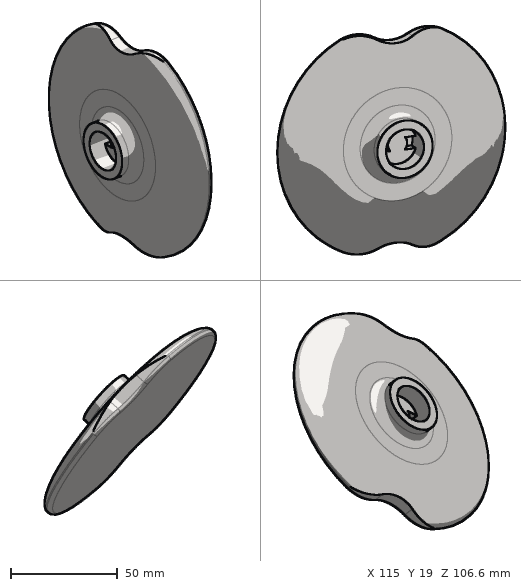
import cadquery as cq
import math

DISC_RADIUS = 57.5
OVERALL_HEIGHT = 106.63
OVERALL_DEPTH = 19.02
DISC_THICKNESS = 10.0
RIM_HEIGHT = 2.5
BACK_FILLET = 1.85
FLAT_RADIUS = 27.5
LOBE_RADIUS = 18.0
NOTCH_RADIUS = 18.0

HUB_RADIUS = 14.0
HUB_FILLET = 5.0
BORE_RADIUS = 9.6
BORE_DEPTH = OVERALL_DEPTH - DISC_THICKNESS
SLOT_WIDTH = 6.0
SLOT_INNER_RADIUS = 4.85
SLOT_DEPTH = 5.0


def disc_body():
    """Revolved disc: flat back, short rim and an elliptical dome up to the flat front."""
    dome_width = DISC_RADIUS - FLAT_RADIUS
    dome_height = DISC_THICKNESS - RIM_HEIGHT
    half_section = (
        cq.Workplane("XY")
        .lineTo(DISC_RADIUS, 0)
        .lineTo(DISC_RADIUS, -RIM_HEIGHT)
        .ellipseArc(dome_width, dome_height, 270, 360, startAtCurrent=True, sense=-1)
        .lineTo(0, -DISC_THICKNESS)
        .close()
    )
    return half_section.revolve(360, (0, 0, 0), (0, 1, 0))


def notched_outline():
    """Prism with the disc outline, notched at +Z and -Z; every arc is tangent to the next."""
    lobe_orbit = DISC_RADIUS - LOBE_RADIUS
    lobe_z = OVERALL_HEIGHT / 2 - LOBE_RADIUS
    lobe_x = math.sqrt(lobe_orbit**2 - lobe_z**2)
    center_gap = LOBE_RADIUS + NOTCH_RADIUS
    notch_center_z = lobe_z + math.sqrt(center_gap**2 - lobe_x**2)
    notch_bottom_z = notch_center_z - NOTCH_RADIUS

    rim_x = lobe_x * DISC_RADIUS / lobe_orbit
    rim_z = lobe_z * DISC_RADIUS / lobe_orbit
    bend_x = lobe_x * NOTCH_RADIUS / center_gap
    bend_z = notch_center_z - (notch_center_z - lobe_z) * NOTCH_RADIUS / center_gap
    lobe_top_z = lobe_z + LOBE_RADIUS

    return (
        cq.Workplane("XZ")
        .moveTo(rim_x, -rim_z)
        .threePointArc((DISC_RADIUS, 0), (rim_x, rim_z))
        .threePointArc((lobe_x, lobe_top_z), (bend_x, bend_z))
        .threePointArc((0, notch_bottom_z), (-bend_x, bend_z))
        .threePointArc((-lobe_x, lobe_top_z), (-rim_x, rim_z))
        .threePointArc((-DISC_RADIUS, 0), (-rim_x, -rim_z))
        .threePointArc((-lobe_x, -lobe_top_z), (-bend_x, -bend_z))
        .threePointArc((0, -notch_bottom_z), (bend_x, -bend_z))
        .threePointArc((lobe_x, -lobe_top_z), (rim_x, -rim_z))
        .close()
        .extrude(DISC_THICKNESS)
    )


def hub():
    """Hub with a concave fillet where it meets the flat front of the disc."""
    fillet_mid = HUB_FILLET * (1 - math.sqrt(0.5))
    half_section = (
        cq.Workplane("XY")
        .lineTo(HUB_RADIUS + HUB_FILLET, 0)
        .lineTo(HUB_RADIUS + HUB_FILLET, -DISC_THICKNESS)
        .threePointArc(
            (HUB_RADIUS + fillet_mid, -DISC_THICKNESS - fillet_mid),
            (HUB_RADIUS, -DISC_THICKNESS - HUB_FILLET),
        )
        .lineTo(HUB_RADIUS, -OVERALL_DEPTH)
        .lineTo(0, -OVERALL_DEPTH)
        .close()
    )
    return half_section.revolve(360, (0, 0, 0), (0, 1, 0))


def bore():
    """Blind round bore from the hub end face."""
    return (
        cq.Workplane("XZ", origin=(0, -OVERALL_DEPTH, 0))
        .circle(BORE_RADIUS)
        .extrude(-BORE_DEPTH)
    )


def drive_slots():
    """Two opposite pockets in the bore floor, between the inner radius and the bore wall."""
    floor = cq.Workplane("XZ", origin=(0, BORE_DEPTH - OVERALL_DEPTH, 0))
    ring = floor.circle(BORE_RADIUS).circle(SLOT_INNER_RADIUS).extrude(-SLOT_DEPTH)
    bar = floor.rect(2 * BORE_RADIUS, SLOT_WIDTH).extrude(-SLOT_DEPTH)
    return ring.intersect(bar)


disc = disc_body().intersect(notched_outline()).faces(">Y").edges().fillet(BACK_FILLET)
result = disc.union(hub()).cut(bore()).cut(drive_slots())